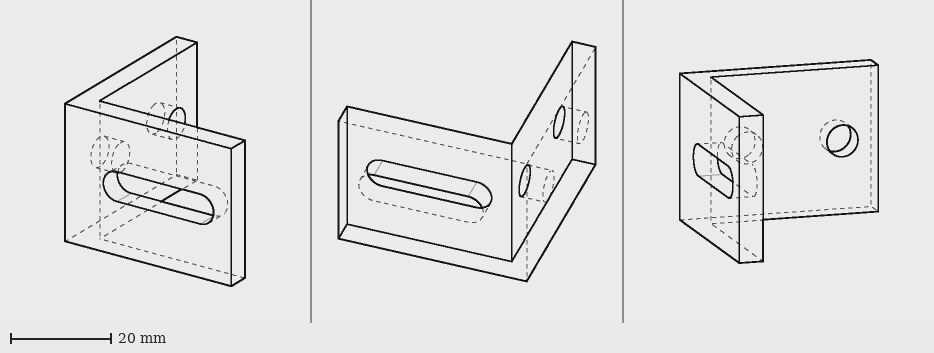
import cadquery as cq

leg_length = 40.0
height = 30.0
thickness = 5.0
hole_diameter = 6.5
hole_spacing = 20.0
end_margin = 1.5 * thickness

far_center = leg_length - end_margin
pattern_center = far_center - hole_spacing / 2
mid_height = height / 2

bracket = (
    cq.Workplane("XY")
    .polyline([
        (0, 0),
        (leg_length, 0),
        (leg_length, thickness),
        (thickness, thickness),
        (thickness, leg_length),
        (0, leg_length),
    ])
    .close()
    .extrude(height)
)

slot = (
    cq.Workplane("XZ")
    .center(pattern_center, mid_height)
    .slot2D(hole_spacing + hole_diameter, hole_diameter)
    .extrude(-thickness)
)

round_holes = (
    cq.Workplane("YZ")
    .center(pattern_center, mid_height)
    .pushPoints([(-hole_spacing / 2, 0), (hole_spacing / 2, 0)])
    .circle(hole_diameter / 2)
    .extrude(thickness)
)

result = bracket.cut(slot).cut(round_holes)